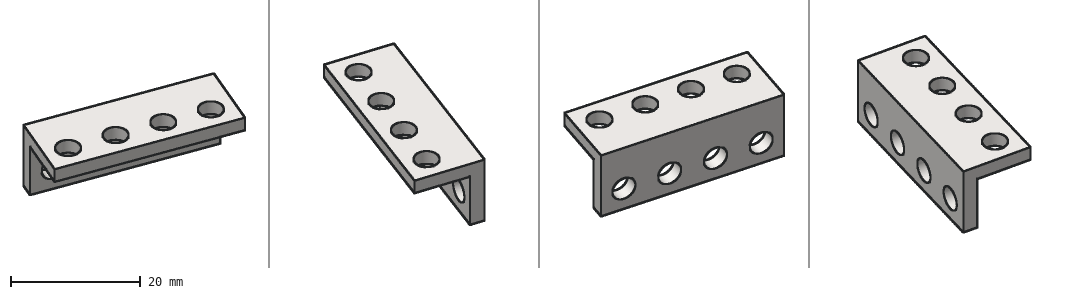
import cadquery as cq

length = 32.0
leg = 12.0
thickness = 2.5
hole_count = 4
hole_diameter = 4.0

hole_pitch = length / hole_count
edge_distance = hole_pitch / 2
hole_offset = leg - edge_distance

top_leg = cq.Workplane("XY").box(leg, length, thickness, centered=(False, True, False))
top_leg = top_leg.translate((0, 0, -thickness))
side_leg = cq.Workplane("XY").box(thickness, length, leg, centered=(False, True, False))
side_leg = side_leg.translate((0, 0, -leg))
angle = top_leg.union(side_leg)

top_holes = (
    cq.Workplane("XY")
    .center(hole_offset, 0)
    .rarray(0.32, hole_pitch, 1, hole_count)
    .circle(hole_diameter / 2)
    .extrude(-thickness)
)
side_holes = (
    cq.Workplane("YZ")
    .center(0, -hole_offset)
    .rarray(hole_pitch, 0.32, hole_count, 1)
    .circle(hole_diameter / 2)
    .extrude(thickness)
)

result = angle.cut(top_holes).cut(side_holes)